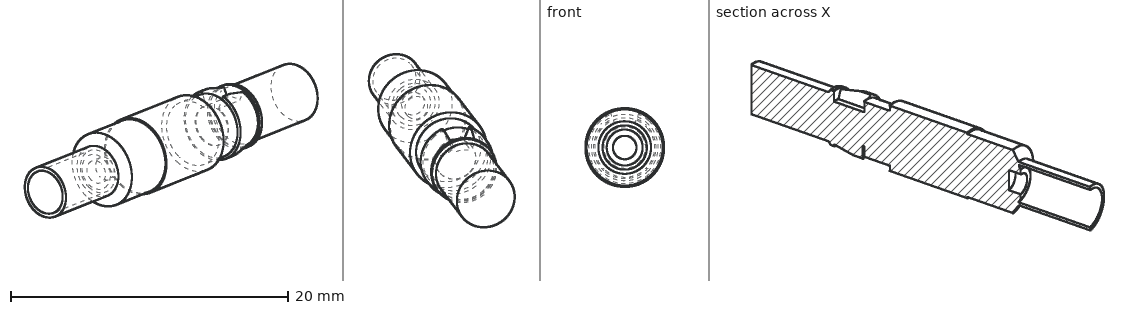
import cadquery as cq
import math


CRIMP_DIAMETER = 3.8
CRIMP_BORE_DIAMETER = 3.2
PLUG_TIP_DIAMETER = 2.6
PLUG_HOLE_DIAMETER = 1.7
REAR_BODY_DIAMETER = 5.5
BODY_DIAMETER = 5.7
COLLAR_DIAMETER = 4.8
CORE_DIAMETER = 3.0
CLIP_LARGE_DIAMETER = 5.2
CLIP_SMALL_DIAMETER = 4.5
FLANGE_DIAMETER = 4.8
SLEEVE_DIAMETER = 4.3

CRIMP_END = 6.1
REAR_CHAMFER_END = 6.6
REAR_BODY_END = 10.5
BODY_END = 17.15
COLLAR_END = 19.35
CLIP_CONE_START = 20.25
FLANGE_START = 21.9
FLANGE_CHAMFER_START = 22.2
FLANGE_END = 22.4
TOTAL_LENGTH = 29.0

CLIP_SLOT_ANGLE = 45.0
CLIP_GAP = 0.1
PLUG_TAPER_ANGLE = 30.0
BORE_DEPTH = CRIMP_END
PLUG_HOLE_DEPTH = 1.0


def turned(profile):
    """Revolve (diameter, y) corners about the Y axis, closing the outline on the axis."""
    points = [(diameter / 2, y) for diameter, y in profile]
    outline = [(0, points[0][1])] + points + [(0, points[-1][1])]
    return cq.Workplane("XY").polyline(outline).close().revolve(360, (0, 0, 0), (0, 1, 0))


def make_shaft():
    """Solid turned body, with a deep groove that seats the clip."""
    return turned([
        (CRIMP_DIAMETER, 0),
        (CRIMP_DIAMETER, CRIMP_END),
        (REAR_BODY_DIAMETER, REAR_CHAMFER_END),
        (REAR_BODY_DIAMETER, REAR_BODY_END),
        (BODY_DIAMETER, REAR_BODY_END),
        (BODY_DIAMETER, BODY_END),
        (COLLAR_DIAMETER, BODY_END),
        (COLLAR_DIAMETER, COLLAR_END),
        (CORE_DIAMETER, COLLAR_END),
        (CORE_DIAMETER, FLANGE_START),
        (FLANGE_DIAMETER, FLANGE_START),
        (FLANGE_DIAMETER, FLANGE_CHAMFER_START),
        (SLEEVE_DIAMETER, FLANGE_END),
        (SLEEVE_DIAMETER, TOTAL_LENGTH),
    ])


def make_clip():
    """Tapered ring around the core, opened at the top (+Z) by a slot with radial walls."""
    clip_start = COLLAR_END + CLIP_GAP
    ring = turned([
        (CLIP_LARGE_DIAMETER, clip_start),
        (CLIP_LARGE_DIAMETER, CLIP_CONE_START),
        (CLIP_SMALL_DIAMETER, FLANGE_START),
    ])
    reach = CLIP_LARGE_DIAMETER
    half_width = reach * math.tan(math.radians(CLIP_SLOT_ANGLE / 2))
    slot = (
        cq.Workplane("XZ", origin=(0, clip_start, 0))
        .polyline([(0, 0), (half_width, reach), (-half_width, reach)])
        .close()
        .extrude(clip_start - FLANGE_START)
    )
    return ring.cut(slot)


def make_crimp_bore():
    """Crimp bore whose floor carries a tapered plug with a small central hole."""
    taper_width = (CRIMP_BORE_DIAMETER - PLUG_TIP_DIAMETER) / 2
    taper_height = taper_width * math.tan(math.radians(PLUG_TAPER_ANGLE))
    tip = BORE_DEPTH - taper_height
    bore = turned([(CRIMP_BORE_DIAMETER, 0), (CRIMP_BORE_DIAMETER, BORE_DEPTH)])
    plug = turned([(PLUG_TIP_DIAMETER, tip), (CRIMP_BORE_DIAMETER, BORE_DEPTH)])
    hole = turned([(PLUG_HOLE_DIAMETER, tip), (PLUG_HOLE_DIAMETER, tip + PLUG_HOLE_DEPTH)])
    return bore.cut(plug).union(hole)


result = make_shaft().union(make_clip()).cut(make_crimp_bore())